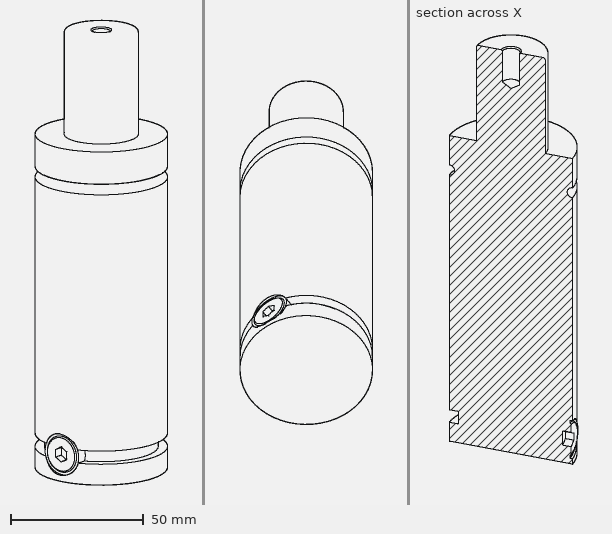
import cadquery as cq
import math

body_diameter = 50.0
body_height = 130.3
body_radius = body_diameter / 2

total_height = 171
rod_diameter = 28.0
rod_edge_radius = 1.0

rod_hole_diameter = 6.8
rod_hole_depth = 13.7
rod_hole_mouth_chamfer = 0.5
drill_point_angle = 118

neck_groove_height = 115.6
neck_groove_radius = 2.0

base_groove_bottom = 8.2
base_groove_width = 5.1
base_groove_diameter = 43.0

port_height = 10.5
port_seat_diameter = 16.0
port_seat_distance = 24
plug_diameter = 14.0
plug_protrusion = 0.5
plug_bevel_width = 0.5
hex_across_flats = 5.1
hex_depth = 3.5


def port_plane(distance):
    """Plane facing -Y, at the port height and a given distance from the axis."""
    return cq.Workplane("XZ", origin=(0, -distance, port_height))


def make_body():
    return cq.Workplane("XY").circle(body_radius).extrude(body_height)


def make_rod():
    rod = cq.Workplane("XY", origin=(0, 0, body_height)).circle(rod_diameter / 2)
    return rod.extrude(total_height - body_height).faces(">Z").edges().fillet(rod_edge_radius)


def make_neck_groove():
    """Ring with a round section centred on the body surface."""
    section = cq.Workplane("XZ").center(body_radius, neck_groove_height).circle(neck_groove_radius)
    return section.revolve(360, (-body_radius, 0), (-body_radius, 1))


def make_base_groove():
    ring = cq.Workplane("XY", origin=(0, 0, base_groove_bottom))
    return ring.circle(body_radius).circle(base_groove_diameter / 2).extrude(base_groove_width)


def make_rod_hole():
    """Drilled hole with a conical bottom and a chamfered mouth."""
    radius = rod_hole_diameter / 2
    mouth_radius = radius + rod_hole_mouth_chamfer
    hole_bottom = total_height - rod_hole_depth
    point_depth = radius / math.tan(math.radians(drill_point_angle / 2))
    profile = (
        cq.Workplane("XZ")
        .moveTo(0, total_height)
        .lineTo(mouth_radius, total_height)
        .lineTo(radius, total_height - rod_hole_mouth_chamfer)
        .lineTo(radius, hole_bottom)
        .lineTo(0, hole_bottom - point_depth)
        .close()
    )
    return profile.revolve()


def add_port(part):
    """Flat round seat bridging the base groove, carrying a bevelled hex-socket plug."""
    seat = port_plane(0).circle(port_seat_diameter / 2).extrude(port_seat_distance)
    spotface = port_plane(port_seat_distance).circle(port_seat_diameter / 2).extrude(body_radius)
    bevel_angle = math.degrees(math.atan2(plug_bevel_width, plug_protrusion))
    plug = port_plane(port_seat_distance).circle(plug_diameter / 2)
    plug = plug.extrude(plug_protrusion, taper=bevel_angle)
    hex_across_corners = hex_across_flats / math.cos(math.pi / 6)
    socket = (
        port_plane(port_seat_distance + plug_protrusion)
        .transformed(rotate=(0, 0, 90))
        .polygon(6, hex_across_corners)
        .extrude(-hex_depth)
    )
    return part.cut(spotface).union(seat).union(plug).cut(socket)


cylinder = make_body().cut(make_neck_groove()).cut(make_base_groove())
cylinder = add_port(cylinder)
result = cylinder.union(make_rod()).cut(make_rod_hole())